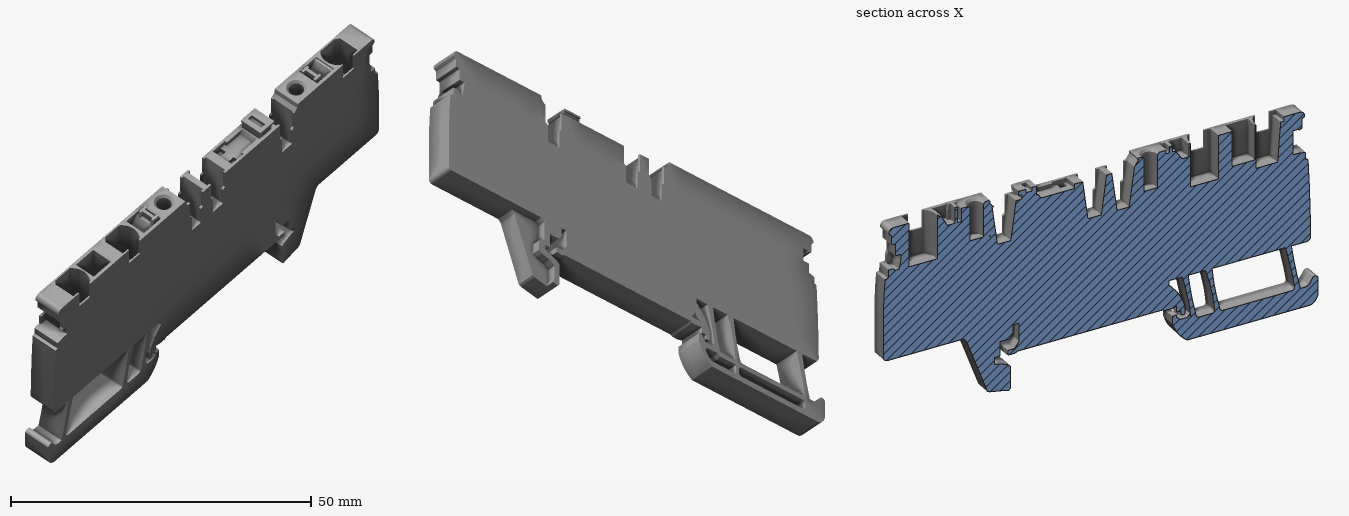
import cadquery as cq

WIDTH = 5.1
X_LEFT = -WIDTH / 2
X_RIGHT = WIDTH / 2
COVER = 0.4
X_INNER_LEFT = X_LEFT + COVER
X_INNER_RIGHT = X_RIGHT - COVER

LENGTH = 83.5
Y_BACK = LENGTH / 2
Y_FRONT = -LENGTH / 2
TOP_Z = 37.6
MIDDLE_Z = 36.1
PRESSER_Z = 38.1
BODY_BOTTOM_Z = 12.4
KEEL_BOTTOM_Z = 7.1
KEEL_PAD_Z = 6.85
BODY_FRONT_Y = -40.35
OVERLAP = 0.3

JUMPER_SLOTS = [(19.8, 17.3), (2.4, -0.1), (-3.2, -5.4)]
SLOT_FLOOR_Z = 28.7
SLOT_STEP_Z = 32.2
SLOT_STEP_CHAMFER = 0.3
SLOT_STEP = 0.5
SLOT_FLARE = 1.0

WIRE_FUNNELS = [(36.75, 31.4), (-22.55, -17.3), (-35.2, -29.8)]
FUNNEL_WIDTH = 4.5
FUNNEL_DEPTH = 8.35
FUNNEL_BULGE = 1.0
FUNNEL_CORNER = 0.7
FUNNEL_RAMP_TOP_Y = -34.5
FUNNEL_RAMP_FOOT_Y = -33.9
FUNNEL_LEDGE_DEPTH = 0.8
FUNNEL_GAP = 2.75
FUNNEL_GAP_DEPTH = 3.3

TEST_HOLES_Y = [23.8, -9.6]
TEST_HOLE_DIAMETER = 2.6
TEST_HOLE_MOUTH = 3.4
TEST_HOLE_DEPTH = 6.7

PRESSER_RECESSES = [(26.8, 31.1), (-12.6, -16.9)]
PRESSER_RECESS_WIDTH = 3.9
PRESSER_RECESS_DEPTH = 2.5
PRESSER_LENGTH = 1.75
PRESSER_TAPER = 0.25
PRESSER_WIDTH = 3.2
PRESSER_CHEEK = 0.5
PRESSER_WEB = 0.6
PRESSER_SINK = 0.7
BACK_RAMP_TOP_Y = 30.7
BACK_RAMP_FOOT_Y = 29.4
FRONT_RAMP_FOOT_Y = -15.6

POCKET_BACK_Y = -25.2
POCKET_FRONT_Y = -29.6
POCKET_WIDTH = 3.9
POCKET_DEPTH = 6.7

SLIDER_BACK_Y = 15.8
SLIDER_FRONT_Y = 12.3
SLIDER_NECK_Y = 15.2
SLIDER_TOP_Z = 37.8
SLIDER_HOOK_Z = 36.8
SLIDER_FLANGE = 0.4
SLIDER_OVERHANG = 0.25
SLIDER_WIDTH = 4.35
SLIDER_GROOVE = (14.3, 13.3)
SLIDER_GROOVE_WIDTH = 3.0
SLIDER_GROOVE_DEPTH = 0.7
TRACK_BACK_Y = 12.0
TRACK_RAMP = 0.6
TRACK_WIDE_Y = 8.1
TRACK_END_Y = 5.1
TRACK_WIDTH = 3.25
TRACK_DEPTH = 0.8
TRACK_END_WIDTH = 4.2
TRACK_ISLAND_WIDTH = 1.7
TRACK_PITS = (7.0, 5.7)
TRACK_PIT_DEPTH = 1.7

LEVER_SETBACK = 1.6
RAIL_GROOVE_DEPTH = 1.8
RAIL_GROOVE_LOW_Z = 1.1
RAIL_GROOVE_HIGH_Z = 2.9
LONG_GROOVE = (-22.6, -37.35)
LONG_GROOVE_FILLET = 0.6
TRIANGLE_DEPTH = 1.7
RAIL_TOP_Z = 3.85
STRUT_FILLET = 0.5
NOTCH_TAB = 0.7

STRUTS = [
    (-15.5, -16.8, (-16.6, 8.35), -17.4, (-17.6, 7.5), -18.55),
    (-20.0, -21.4, (-21.2, 8.35), -21.9, (-22.1, 7.5), -23.1),
    (-35.3, -36.6, (-36.4, 8.35), -37.35, (-37.35, 8.35), -38.4),
]


def plate(points, x_start=X_LEFT, x_end=X_RIGHT):
    """Extrude a (Y, Z) outline from x_start to x_end."""
    return (cq.Workplane("YZ").workplane(offset=x_start)
            .polyline(points).close().extrude(x_end - x_start))


def block(y_one, y_two, z_low, z_high, width, x_centre=0.0):
    """Box between two Y stations and two heights."""
    y_centre = (y_one + y_two) / 2
    return (cq.Workplane("XY", origin=(x_centre, y_centre, z_low))
            .rect(width, abs(y_two - y_one)).extrude(z_high - z_low))


def make_body():
    return (cq.Workplane("YZ").workplane(offset=X_LEFT)
            .moveTo(20.5, MIDDLE_Z).lineTo(21.1, 36.75).lineTo(21.3, TOP_Z)
            .lineTo(39.7, TOP_Z).threePointArc((40.4, 37.35), (40.7, 36.5))
            .lineTo(40.2, 36.1).lineTo(40.2, 34.3).lineTo(39.4, 34.25).lineTo(39.4, 31.9)
            .lineTo(39.8, 31.1).lineTo(39.8, 29.7).lineTo(40.8, 29.7).lineTo(40.85, 28.15)
            .lineTo(41.4, 28.1).threePointArc((41.6, 25.65), (Y_BACK, 21.0))
            .lineTo(Y_BACK, 13.2).threePointArc((41.5, 12.6), (40.9, BODY_BOTTOM_Z))
            .lineTo(-39.5, BODY_BOTTOM_Z).threePointArc((-40.1, 12.6), (BODY_FRONT_Y, 13.2))
            .threePointArc((-40.2, 20.6), (-39.85, 28.1))
            .lineTo(-39.35, 28.2).lineTo(-39.35, 29.6).lineTo(-38.2, 29.8).lineTo(-38.2, 31.7)
            .lineTo(-37.9, 32.1).lineTo(-37.9, 34.1).lineTo(-38.7, 34.3).lineTo(-38.7, 36.1)
            .lineTo(-39.2, 36.5).threePointArc((-38.85, 37.35), (-38.0, TOP_Z))
            .lineTo(-7.1, TOP_Z).lineTo(-7.2, 37.2).lineTo(-6.4, MIDDLE_Z)
            .close().extrude(WIDTH))


def make_keel():
    """Lower centre part that sits over the mounting rail, with a sprung lip at its front end."""
    keel = plate([(15.7, BODY_BOTTOM_Z + OVERLAP), (15.7, 9.0), (16.5, 7.85), (17.9, 7.85),
                  (17.9, KEEL_PAD_Z), (16.45, KEEL_PAD_Z), (16.0, KEEL_BOTTOM_Z),
                  (-11.9, KEEL_BOTTOM_Z), (-12.3, KEEL_PAD_Z), (-13.5, KEEL_PAD_Z),
                  (-14.45, KEEL_BOTTOM_Z), (-14.45, 5.9), (-15.4, 5.9), (-15.4, 5.1), (-16.2, 5.1),
                  (-16.2, 6.7), (-15.8, 7.9), (-14.8, 9.7), (-13.2, 11.5),
                  (-13.2, BODY_BOTTOM_Z + OVERLAP)])
    triangle = plate([(-13.2, 9.85), (-12.1, 8.1), (-14.45, 8.1)], X_LEFT, X_LEFT + TRIANGLE_DEPTH)
    return keel.cut(triangle)


def make_back_foot():
    """Release foot: a full-width claw with a thinner lever behind it."""
    claw = plate([(21.3, BODY_BOTTOM_Z), (20.55, 11.8), (20.55, 8.2), (21.8, 7.35), (21.8, 5.4),
                  (21.1, 5.0), (19.5, 4.5), (18.3, 3.85), (18.3, 1.7), (18.6, 0.3),
                  (17.7, 0.1), (17.3, 0.4), (17.3, 4.7), (17.8, 5.1), (19.5, 5.8), (20.3, 5.85),
                  (20.3, 7.1), (19.3, 7.1), (19.3, 9.85), (17.4, 9.85), (16.8, 10.7),
                  (16.8, BODY_BOTTOM_Z + OVERLAP), (21.3, BODY_BOTTOM_Z + OVERLAP)])
    lever = plate([(26.4, BODY_BOTTOM_Z), (25.8, 11.8), (21.8, 1.1), (21.4, 0.8), (18.3, 0.25),
                   (18.0, 4.2), (20.4, 5.3), (20.4, BODY_BOTTOM_Z + OVERLAP),
                   (26.4, BODY_BOTTOM_Z + OVERLAP)], X_LEFT + LEVER_SETBACK, X_RIGHT)
    return claw.union(lever)


def make_strut(top_back, top_front, back_bow, bottom_back, front_bow, bottom_front):
    """Bowed strut from the body down into the foot rail; each bow is a (Y, Z) point on that side."""
    top_z = BODY_BOTTOM_Z + OVERLAP
    bottom_z = RAIL_TOP_Z - OVERLAP
    return (cq.Workplane("YZ").workplane(offset=X_LEFT)
            .moveTo(top_back, top_z)
            .threePointArc(back_bow, (bottom_back, bottom_z))
            .lineTo(bottom_front, bottom_z)
            .threePointArc(front_bow, (top_front, top_z))
            .close().extrude(WIDTH))


def make_front_foot():
    rail = (cq.Workplane("YZ").workplane(offset=X_LEFT)
            .moveTo(-14.6, 5.5).lineTo(-13.7, 5.4).lineTo(-13.7, 4.0)
            .threePointArc((-14.7, 1.9), (-16.6, 0))
            .lineTo(-40.3, 0)
            .threePointArc((-41.3, 0.7), (Y_FRONT, 1.8))
            .lineTo(Y_FRONT, 5.0)
            .threePointArc((-41.35, 5.35), (-40.8, 5.35))
            .lineTo(-39.9, 4.1)
            .threePointArc((-39.3, RAIL_TOP_Z), (-38.5, RAIL_TOP_Z))
            .lineTo(-17.4, RAIL_TOP_Z)
            .lineTo(-17.1, 5.0).lineTo(-16.6, 4.4).lineTo(-15.2, 4.4).lineTo(-14.6, 5.0)
            .close().extrude(WIDTH))
    for strut in STRUTS:
        rail = rail.union(make_strut(*strut))
    first_foot_y = STRUTS[0][-1] + OVERLAP
    last_foot_y = STRUTS[-1][3] - OVERLAP
    strut_feet = cq.selectors.BoxSelector((X_LEFT, last_foot_y, RAIL_TOP_Z - OVERLAP / 2),
                                          (X_RIGHT, first_foot_y, RAIL_TOP_Z + OVERLAP / 2))
    rail = rail.edges("|X").edges(strut_feet).fillet(STRUT_FILLET)
    groove_end = X_LEFT + RAIL_GROOVE_DEPTH
    short_groove = plate([(-15.2, 2.75), (-15.6, 3.3), (-18.0, 3.3), (-18.55, RAIL_GROOVE_HIGH_Z),
                          (-22.0, RAIL_GROOVE_HIGH_Z), (-22.0, RAIL_GROOVE_LOW_Z),
                          (-16.6, RAIL_GROOVE_LOW_Z), (-16.0, 1.5)], X_LEFT, groove_end)
    long_groove = (block(*LONG_GROOVE, RAIL_GROOVE_LOW_Z, RAIL_GROOVE_HIGH_Z,
                         RAIL_GROOVE_DEPTH, X_LEFT + RAIL_GROOVE_DEPTH / 2)
                   .edges("|X").fillet(LONG_GROOVE_FILLET))
    return rail.cut(short_groove).cut(long_groove)


def jumper_slot(back_y, front_y):
    """Stepped slot through both sides with a flared core between the skins."""
    chamfer_top_z = SLOT_STEP_Z + SLOT_STEP_CHAMFER
    through = plate([(back_y, SLOT_FLOOR_Z), (back_y, SLOT_STEP_Z),
                     (back_y + SLOT_STEP, chamfer_top_z), (back_y + SLOT_STEP, TOP_Z),
                     (front_y - SLOT_STEP, TOP_Z), (front_y - SLOT_STEP, chamfer_top_z),
                     (front_y, SLOT_STEP_Z), (front_y, SLOT_FLOOR_Z)])
    core = plate([(back_y, SLOT_FLOOR_Z), (back_y + SLOT_FLARE, MIDDLE_Z),
                  (front_y - SLOT_FLARE, MIDDLE_Z), (front_y, SLOT_FLOOR_Z)],
                 X_INNER_LEFT, X_INNER_RIGHT)
    return through.union(core)


def wire_funnel(straight_y, round_y):
    """Pocket with one bulged end and an opening through the right-hand wall."""
    direction = 1 if round_y > straight_y else -1
    bulge_start_y = round_y - direction * FUNNEL_BULGE
    half = FUNNEL_WIDTH / 2
    pocket = (cq.Workplane("XY", origin=(0, 0, TOP_Z))
              .moveTo(-half, bulge_start_y)
              .lineTo(-half, straight_y + direction * FUNNEL_CORNER)
              .lineTo(-half + FUNNEL_CORNER, straight_y)
              .lineTo(half, straight_y)
              .lineTo(half, bulge_start_y)
              .threePointArc((0, round_y), (-half, bulge_start_y))
              .close().extrude(-FUNNEL_DEPTH))
    middle_y = (straight_y + round_y) / 2
    gap = block(middle_y - FUNNEL_GAP / 2, middle_y + FUNNEL_GAP / 2,
                TOP_Z - FUNNEL_GAP_DEPTH, TOP_Z, X_RIGHT, X_RIGHT / 2)
    return pocket.union(gap)


def make_funnel_ramp():
    """Ledge and steep ramp at the straight end of the frontmost funnel."""
    wall_y = WIRE_FUNNELS[-1][0]
    floor_z = TOP_Z - FUNNEL_DEPTH
    ledge_z = TOP_Z - FUNNEL_LEDGE_DEPTH
    half = FUNNEL_WIDTH / 2
    return plate([(FUNNEL_RAMP_TOP_Y, ledge_z), (wall_y - OVERLAP, ledge_z), (wall_y - OVERLAP, floor_z),
                  (FUNNEL_RAMP_FOOT_Y, floor_z)], -half, half)


def test_hole(y):
    hole = cq.Workplane("XY", origin=(0, y, TOP_Z))
    hole = hole.circle(TEST_HOLE_DIAMETER / 2).extrude(-TEST_HOLE_DEPTH)
    flare_depth = (TEST_HOLE_MOUTH - TEST_HOLE_DIAMETER) / 2
    mouth = (cq.Workplane("XY", origin=(0, y, TOP_Z)).circle(TEST_HOLE_MOUTH / 2)
             .workplane(offset=-flare_depth).circle(TEST_HOLE_DIAMETER / 2).loft())
    return hole.union(mouth)


def presser_recess(presser_y, open_y):
    return block(presser_y, open_y, TOP_Z - PRESSER_RECESS_DEPTH, TOP_Z, PRESSER_RECESS_WIDTH)


def make_back_ramp():
    """Steep ramp at the open end of the back recess, facing its presser."""
    half = PRESSER_RECESS_WIDTH / 2
    end_y = PRESSER_RECESSES[0][1]
    floor_z = TOP_Z - PRESSER_RECESS_DEPTH
    ramp_z = TOP_Z - OVERLAP
    return plate([(end_y, floor_z), (end_y, ramp_z), (BACK_RAMP_TOP_Y, ramp_z),
                  (BACK_RAMP_FOOT_Y, floor_z)], -half, half)


def make_front_ramp():
    """Ramp under the front presser, sloping down to the open end of its recess."""
    half = PRESSER_RECESS_WIDTH / 2
    presser_y = PRESSER_RECESSES[1][0]
    floor_z = TOP_Z - PRESSER_RECESS_DEPTH
    ramp_z = TOP_Z - PRESSER_SINK
    return plate([(presser_y, floor_z), (presser_y, ramp_z), (presser_y - PRESSER_LENGTH, ramp_z),
                  (FRONT_RAMP_FOOT_Y, floor_z)], -half, half)


def make_presser(presser_y, open_y):
    """H-shaped release presser standing at one end of its recess."""
    direction = 1 if open_y > presser_y else -1
    floor_z = TOP_Z - PRESSER_RECESS_DEPTH
    ramp_z = TOP_Z - PRESSER_SINK
    far_y = presser_y + direction * PRESSER_LENGTH
    side = [(presser_y, floor_z), (presser_y, PRESSER_Z),
            (far_y - direction * PRESSER_TAPER, PRESSER_Z), (far_y, ramp_z), (far_y, floor_z)]
    half = PRESSER_WIDTH / 2
    left_cheek = plate(side, -half, -half + PRESSER_CHEEK)
    right_cheek = plate(side, half - PRESSER_CHEEK, half)
    middle_y = (presser_y + far_y) / 2
    web = block(middle_y - PRESSER_WEB / 2, middle_y + PRESSER_WEB / 2, floor_z, PRESSER_Z, PRESSER_WIDTH)
    return left_cheek.union(right_cheek).union(web)


def slider_track():
    """Shallow track with a ramp at the slider and a widened end holding two side pits."""
    half = TRACK_WIDTH / 2
    floor_z = MIDDLE_Z - TRACK_DEPTH
    track = plate([(TRACK_BACK_Y, MIDDLE_Z), (TRACK_BACK_Y - TRACK_RAMP, floor_z),
                   (TRACK_END_Y, floor_z), (TRACK_END_Y, MIDDLE_Z)], -half, half)
    track = track.union(block(TRACK_WIDE_Y, TRACK_END_Y, floor_z, MIDDLE_Z, TRACK_END_WIDTH))
    pit_width = (TRACK_END_WIDTH - TRACK_ISLAND_WIDTH) / 2
    pit_x = (TRACK_END_WIDTH + TRACK_ISLAND_WIDTH) / 4
    for side in (-1, 1):
        pit = block(*TRACK_PITS, MIDDLE_Z - TRACK_PIT_DEPTH, MIDDLE_Z, pit_width, side * pit_x)
        track = track.union(pit)
    return track


def make_slider():
    """Grip with an overhanging flange on a narrower neck."""
    flange_z = SLIDER_TOP_Z - SLIDER_FLANGE
    flange = block(SLIDER_BACK_Y, SLIDER_FRONT_Y, flange_z, SLIDER_TOP_Z, SLIDER_WIDTH)
    half_neck = SLIDER_WIDTH / 2 - SLIDER_OVERHANG
    neck = plate([(SLIDER_NECK_Y, MIDDLE_Z - OVERLAP), (SLIDER_NECK_Y, SLIDER_HOOK_Z),
                  (SLIDER_BACK_Y, SLIDER_HOOK_Z), (SLIDER_BACK_Y, flange_z),
                  (SLIDER_FRONT_Y, flange_z), (SLIDER_FRONT_Y, MIDDLE_Z - OVERLAP)],
                 -half_neck, half_neck)
    groove = block(*SLIDER_GROOVE, SLIDER_TOP_Z - SLIDER_GROOVE_DEPTH, SLIDER_TOP_Z, SLIDER_GROOVE_WIDTH)
    return flange.union(neck).cut(groove)


def end_notches():
    """Undercuts that leave a narrow tab on the right and, at the front, a thin lip on the left below it."""
    tab_x = X_RIGHT - NOTCH_TAB
    back = plate([(39.85, 32.0), (38.35, 32.0), (38.4, 30.8), (38.8, 29.3), (39.5, 29.3), (39.85, 29.7)],
                 X_LEFT, tab_x)
    front = plate([(-38.0, 34.3), (-36.9, 34.3), (-36.9, 31.75), (-38.3, 31.75)], X_LEFT, tab_x)
    behind_lip = plate([(-36.9, 31.75), (-36.9, 29.8), (-38.3, 29.8), (-38.3, 31.75)], X_INNER_LEFT)
    return back.union(front).union(behind_lip)


result = make_body()
for part in (make_keel(), make_back_foot(), make_front_foot()):
    result = result.union(part)

for slot in JUMPER_SLOTS:
    result = result.cut(jumper_slot(*slot))
for funnel in WIRE_FUNNELS:
    result = result.cut(wire_funnel(*funnel))
result = result.union(make_funnel_ramp())
for hole_y in TEST_HOLES_Y:
    result = result.cut(test_hole(hole_y))
for recess in PRESSER_RECESSES:
    result = result.cut(presser_recess(*recess)).union(make_presser(*recess))
result = result.union(make_back_ramp()).union(make_front_ramp())

result = result.cut(block(POCKET_BACK_Y, POCKET_FRONT_Y, TOP_Z - POCKET_DEPTH, TOP_Z, POCKET_WIDTH))
result = result.cut(slider_track()).union(make_slider())
result = result.cut(end_notches())